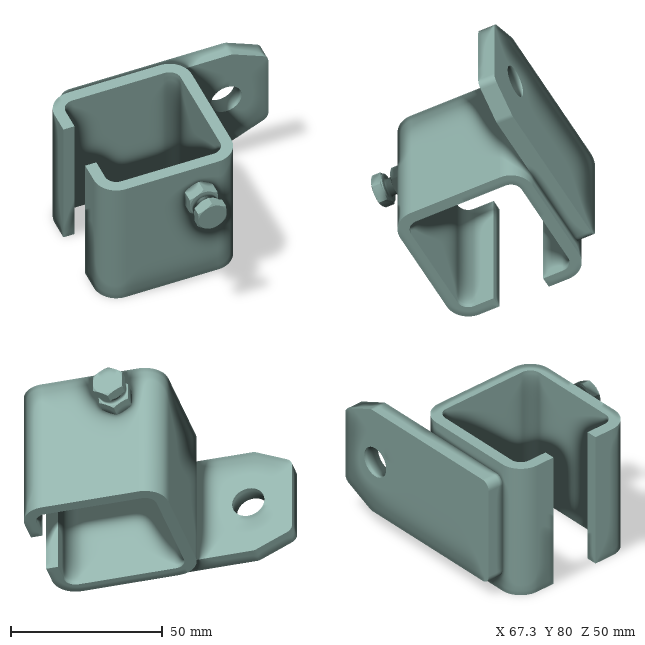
import cadquery as cq
import math

channel_width = 49.2
channel_height = 50.0
wall = 4.0
outer_radius = 8.0
inner_radius = outer_radius - wall
slot_width = 18.4

plate_thickness = 6.0
plate_height = 40.0
plate_start_y = outer_radius
plate_end_y = 80.0
taper_length = 13.0
taper_drop = 6.0
plate_corner_radius = 3.0
plate_hole_diameter = 11.0
plate_hole_from_end = 15.0

bolt_y = 34.0
bolt_z = 38.0
bolt_diameter = 6.0
across_flats = 10.0
across_corners = across_flats / math.cos(math.radians(30))
nut_height = 5.0
nut_to_head_gap = 3.1
bearing_face_height = 0.5
head_height = 3.5
neck_fillet = 0.5
tip_diameter = 5.0
hex_chamfer_angle = 30.0

channel_outer_x = channel_width
channel_inner_x = channel_width - wall
nut_outer_x = channel_outer_x + nut_height
bearing_x = nut_outer_x + nut_to_head_gap
head_x = bearing_x + bearing_face_height


def cylinder_x(diameter, start_x, length):
    """Cylinder along +X on the bolt axis."""
    return (
        cq.Workplane("YZ", origin=(start_x, bolt_y, bolt_z))
        .circle(diameter / 2)
        .extrude(length)
    )


def hexagon_x(start_x, length, chamfer_start):
    """Hexagon along +X with flats facing +Y and -Y and its corners turned off at the ends."""
    hexagon = (
        cq.Workplane("YZ", origin=(start_x, bolt_y, bolt_z))
        .transformed(rotate=(0, 0, 90))
        .polygon(6, across_corners)
        .extrude(length)
    )
    radial_cut = (across_corners - across_flats) / 2
    axial_cut = radial_cut * math.tan(math.radians(hex_chamfer_angle))
    turned = cylinder_x(across_corners, start_x, length)
    turned = turned.faces(">X").chamfer(axial_cut, radial_cut)
    if chamfer_start:
        turned = turned.faces("<X").chamfer(axial_cut, radial_cut)
    return hexagon.intersect(turned)


def make_channel():
    inner_width = channel_width - 2 * wall
    outside = (
        cq.Workplane("XY")
        .rect(channel_width, channel_width)
        .extrude(channel_height)
        .edges("|Z")
        .fillet(outer_radius)
    )
    inside = (
        cq.Workplane("XY")
        .rect(inner_width, inner_width)
        .extrude(channel_height)
        .edges("|Z")
        .fillet(inner_radius)
    )
    slot = (
        cq.Workplane("XY")
        .center(0, -channel_width / 2)
        .rect(slot_width, 2 * outer_radius)
        .extrude(channel_height)
    )
    tube = outside.cut(inside).cut(slot).translate((channel_width / 2, channel_width / 2, 0))
    return tube.cut(cylinder_x(tip_diameter, channel_inner_x, wall))


def make_plate():
    bottom_z = (channel_height - plate_height) / 2
    top_z = bottom_z + plate_height
    taper_start_y = plate_end_y - taper_length
    outline = [
        (plate_start_y, bottom_z),
        (taper_start_y, bottom_z),
        (plate_end_y, bottom_z + taper_drop),
        (plate_end_y, top_z - taper_drop),
        (taper_start_y, top_z),
        (plate_start_y, top_z),
    ]
    plate = (
        cq.Workplane("YZ", origin=(-plate_thickness, 0, 0))
        .polyline(outline)
        .close()
        .extrude(plate_thickness)
        .edges("|X")
        .fillet(plate_corner_radius)
    )
    hole_y = plate_end_y - plate_hole_from_end
    hole = (
        cq.Workplane("YZ", origin=(-plate_thickness, hole_y, channel_height / 2))
        .circle(plate_hole_diameter / 2)
        .extrude(plate_thickness)
    )
    return plate.cut(hole)


def make_nut():
    bore = cylinder_x(bolt_diameter, channel_outer_x, nut_height)
    return hexagon_x(channel_outer_x, nut_height, chamfer_start=True).cut(bore)


def make_bolt():
    """Bolt whose narrower tip fills the wall hole and ends flush with the inner face."""
    tip = cylinder_x(tip_diameter, channel_inner_x, wall)
    shank = cylinder_x(bolt_diameter, channel_outer_x, bearing_x - channel_outer_x)
    bearing_face = cylinder_x(across_flats, bearing_x, bearing_face_height)
    head = hexagon_x(head_x, head_height, chamfer_start=False)

    bearing_side = shank.union(bearing_face).faces("%PLANE").faces("<X[1]")
    neck = bearing_side.edges(cq.selectors.RadiusNthSelector(0)).fillet(neck_fillet)
    return neck.union(tip).union(head)


channel = make_channel()
plate = make_plate()
nut = make_nut()
bolt = make_bolt()

result = cq.Compound.makeCompound([channel.val(), plate.val(), nut.val(), bolt.val()])